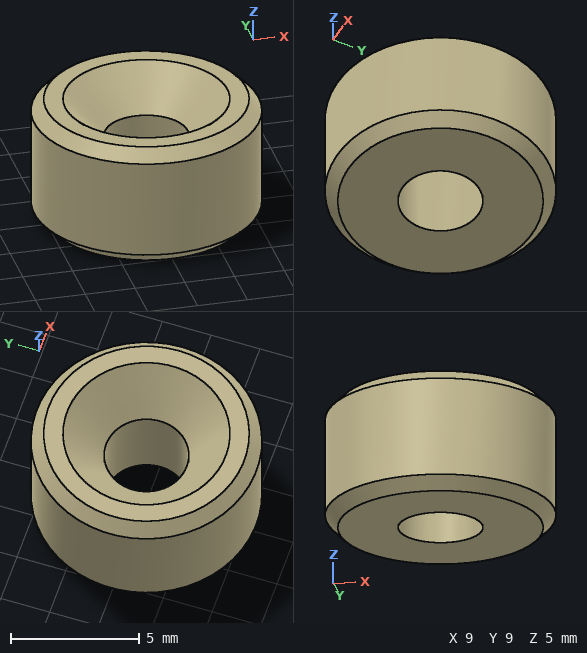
import cadquery as cq

outer_diameter = 9.0
height = 5.0
edge_chamfer = 0.5
bore_diameter = 3.3
countersink_diameter = 6.5
countersink_angle = 90.0


def make_body():
    """Round spacer standing on Z = 0, chamfered on both outer rims."""
    cylinder = cq.Workplane("XY").circle(outer_diameter / 2).extrude(height)
    return cylinder.edges("%CIRCLE").chamfer(edge_chamfer)


def cut_countersunk_bore(body):
    """Through bore on the axis with a conical countersink in the top face."""
    return body.faces(">Z").workplane().cskHole(bore_diameter, countersink_diameter, countersink_angle)


result = cut_countersunk_bore(make_body())